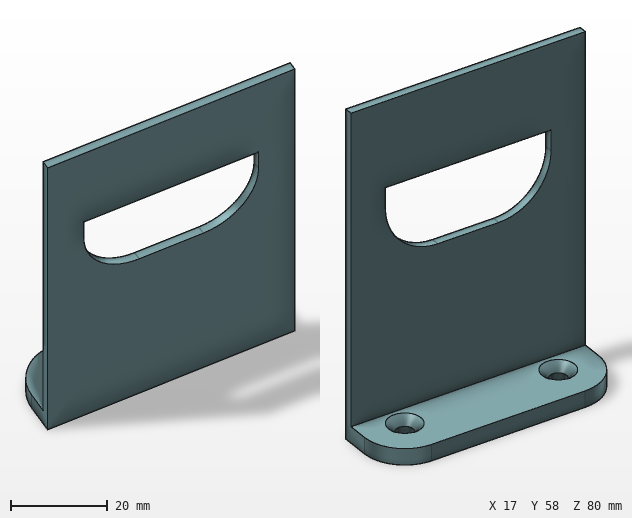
import cadquery as cq

depth = 17.0
width = 58.0
height = 80.0
plate_thickness = 2.0
base_thickness = 4.0

corner_radius = 10.0
hole_diameter = 4.0
countersink_diameter = 8.0
countersink_angle = 90.0

window_width = 41.0
window_height = 18.0
window_top = 59.0
window_radius = 13.0


def make_base():
    """Foot with two rounded front corners and countersunk screw holes."""
    foot = cq.Workplane("XY").box(depth, width, base_thickness, centered=(False, True, False))
    foot = foot.edges("|Z and <X").fillet(corner_radius)
    hole_y = width / 2 - corner_radius
    return (
        foot.faces(">Z")
        .workplane(origin=(0, 0, base_thickness))
        .pushPoints([(corner_radius, -hole_y), (corner_radius, hole_y)])
        .cskHole(hole_diameter, countersink_diameter, countersink_angle)
    )


def make_plate():
    """Upright plate with a window rounded at its lower corners."""
    plate_x = depth - plate_thickness
    centered = (False, True, False)
    plate = cq.Workplane("XY", origin=(plate_x, 0, 0)).box(
        plate_thickness, width, height, centered=centered
    )
    window_bottom = window_top - window_height
    window = cq.Workplane("XY", origin=(plate_x, 0, window_bottom)).box(
        plate_thickness, window_width, window_height, centered=centered
    )
    window = window.edges("|X and <Z").fillet(window_radius)
    return plate.cut(window)


result = make_base().union(make_plate())